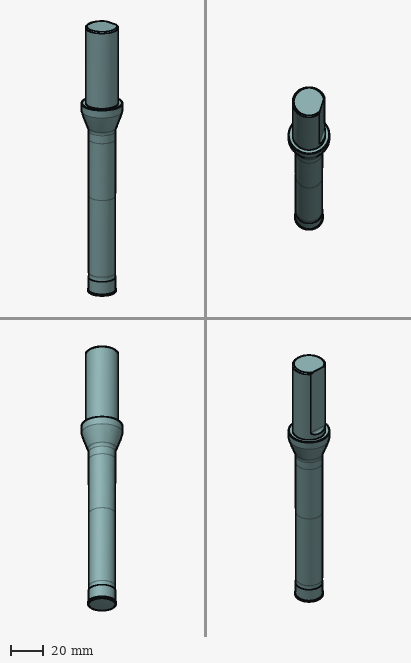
import cadquery as cq

total_length = 173.0
head_top = 9.7
groove_top = 12.8
body_top = 62.8
waist_top = 99.8
neck_top = 105.0
flare_foot = 107.5
collar_bottom = 118.2
collar_top = 123.2

neck_diameter = 16.6
body_diameter = 16.5
groove_diameter = 16.3
rim_diameter = 17.3
flare_foot_diameter = 17.6
shank_diameter = 20.0
collar_diameter = 25.0

collar_chamfer = 0.3
shank_chamfer = 0.9
rim_top = 1.5
rim_chamfer = 0.5
tip_cone_height = 0.3

flat_offset = 8.1
flat_bottom = 126.5
flat_runout_radius = 2.2


def make_head():
    """Cutting head: a short cylinder with a raised, chamfered rim and a shallow conical tip."""
    neck_radius = neck_diameter / 2
    rim_radius = rim_diameter / 2
    return (
        cq.Workplane("XZ")
        .lineTo(rim_radius - rim_chamfer, tip_cone_height)
        .lineTo(rim_radius, tip_cone_height + rim_chamfer)
        .lineTo(rim_radius, rim_top)
        .lineTo(neck_radius, rim_top)
        .lineTo(neck_radius, head_top)
        .lineTo(0, head_top)
        .close()
        .revolve(360, (0, 0, 0), (0, 1, 0))
    )


def make_flat_cutter():
    """Block that removes the clamping flat, with a rounded lower inner edge."""
    flat_depth = collar_diameter / 2 - flat_offset
    flat_length = total_length - flat_bottom
    return (
        cq.Workplane("XY")
        .box(collar_diameter, flat_depth, flat_length, centered=(True, False, False))
        .faces("<Z")
        .edges("<Y")
        .fillet(flat_runout_radius)
        .translate((0, flat_offset, flat_bottom))
    )


def make_holder():
    """Holder: grooved body, waist and neck, flared collar and flatted shank."""
    neck_radius = neck_diameter / 2
    body_radius = body_diameter / 2
    foot_radius = flare_foot_diameter / 2
    collar_radius = collar_diameter / 2
    shank_radius = shank_diameter / 2
    groove_middle = (groove_diameter / 2, (head_top + groove_top) / 2)
    turned = (
        cq.Workplane("XZ")
        .moveTo(0, head_top)
        .lineTo(neck_radius, head_top)
        .threePointArc(groove_middle, (body_radius, groove_top))
        .lineTo(body_radius, body_top)
        .lineTo(neck_radius, waist_top)
        .lineTo(neck_radius, neck_top)
        .tangentArcPoint((foot_radius, flare_foot), relative=False)
        .tangentArcPoint((collar_radius, collar_bottom), relative=False)
        .lineTo(collar_radius, collar_top - collar_chamfer)
        .lineTo(collar_radius - collar_chamfer, collar_top)
        .lineTo(shank_radius, collar_top)
        .lineTo(shank_radius, total_length - shank_chamfer)
        .lineTo(shank_radius - shank_chamfer, total_length)
        .lineTo(0, total_length)
        .close()
        .revolve(360, (0, 0, 0), (0, 1, 0))
    )
    return turned.cut(make_flat_cutter())


head = make_head()
holder = make_holder()

result = cq.Compound.makeCompound([head.val(), holder.val()])